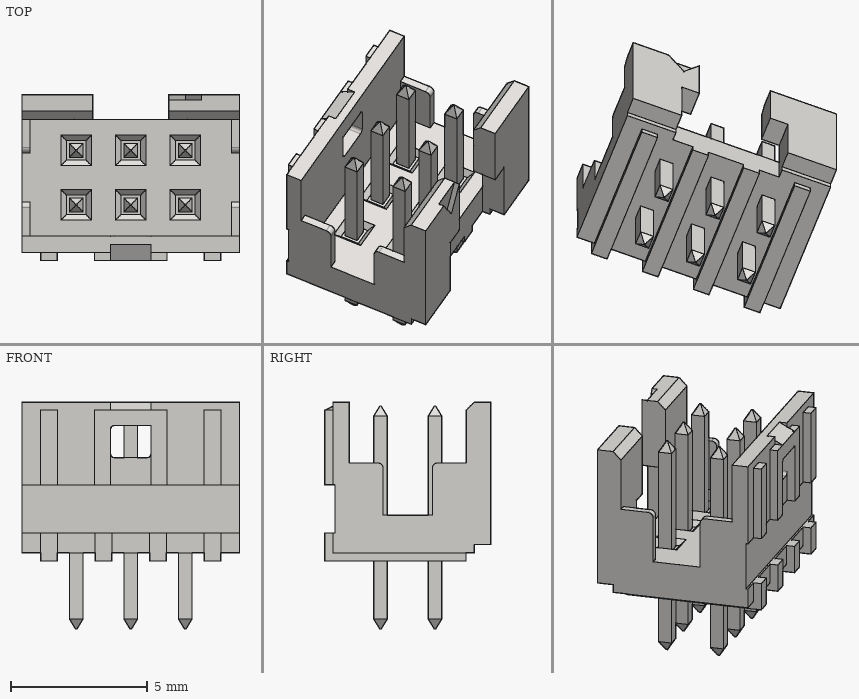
import cadquery as cq


length = 8.0
depth = 6.1
height = 8.35
step = 0.3
pitch = 2.0

rear_y = depth / 2
rib_y = -depth / 2
front_y = rib_y + step
cavity_half = 2.15
band_depth = 0.075

rib_top_z = height - step
rib_bottom_z = height - 3.04
band_bottom_z = height - 4.81
side_top_z = height - 2.24
floor_z = height - 4.16
body_bottom_z = height - 5.545
foot_bottom_z = body_bottom_z - step

slot_width = 1.8
slot_corner_radius = 0.2

gap_width = 2.79
wide_gap_width = 4.175
wide_gap_top_z = height - 2.58
mark_width = 1.2
mark_height = 1.04
mark_depth = 0.2

rib_width = 0.62
rib_x = 1.5 * pitch
frame_width = 2.67
window_width = 1.48
window_top_z = height - 0.87
window_bottom_z = height - 2.04
window_radius = 0.13
ramp_top_y = rib_y + 0.59
foot_positions = [(i - 1.5) * pitch for i in range(4)]

pin_width = 0.51
pin_top_z = height - 0.14
tip_length = 0.375
tip_width = 0.05
socket_width = 1.12
socket_depth = 0.2
pin_positions = [(i * pitch, j * pitch) for i in (-1, 0, 1) for j in (-0.5, 0.5)]


def block(x_range, y_range, z_range):
    """Axis-aligned box between the given limits."""
    (x0, x1), (y0, y1), (z0, z1) = x_range, y_range, z_range
    return cq.Workplane("XY").box(x1 - x0, y1 - y0, z1 - z0, centered=False).translate((x0, y0, z0))


def centred(width, middle=0.0):
    """Limits of a stretch of the given width about its middle."""
    return (middle - width / 2, middle + width / 2)


def along_x(points, width):
    """Y-Z outline extruded along X, centred on X = 0."""
    return cq.Workplane("YZ").polyline(points).close().extrude(width / 2, both=True)


def make_shell():
    """Floor with a tall front wall, a chamfered rear wall and low side walls."""
    outline = [
        (front_y, body_bottom_z),
        (rear_y - 2 * step, body_bottom_z),
        (rear_y - 2 * step, body_bottom_z + step),
        (rear_y, body_bottom_z + step),
        (rear_y, height),
        (cavity_half + step, height),
        (cavity_half, height - step),
        (cavity_half, floor_z),
        (-cavity_half, floor_z),
        (-cavity_half, height),
        (front_y, height),
        (front_y, rib_bottom_z),
        (front_y + band_depth, rib_bottom_z),
        (front_y + band_depth, band_bottom_z),
        (front_y, band_bottom_z),
    ]
    shell = along_x(outline, length)
    slot_half = slot_width / 2
    for side in (-1, 1):
        x_range = centred(step, side * (length - step) / 2)
        for end in (-1, 1):
            y_range = sorted((end * slot_half, end * cavity_half))
            wall = block(x_range, y_range, (floor_z, side_top_z))
            slot_edge = "<Y" if end > 0 else ">Y"
            wall = wall.faces(">Z").edges(slot_edge).fillet(slot_corner_radius)
            shell = shell.union(wall)
    return shell


def cut_rear_wall(body):
    """Stepped gap through the rear wall and the engraved triangle."""
    y_range = (cavity_half, rear_y)
    body = body.cut(block(centred(gap_width), y_range, (foot_bottom_z, height)))
    body = body.cut(block(centred(wide_gap_width), y_range, (foot_bottom_z, wide_gap_top_z)))
    mark = (
        cq.Workplane("XZ", origin=(pitch, rear_y, height))
        .polyline([(-mark_width / 2, 0), (mark_width / 2, 0), (0, -mark_height)])
        .close()
        .extrude(mark_depth)
    )
    return body.cut(mark)


def add_front_ribs(body):
    """Two plain ribs, and a latch frame with a ramped lead-in and a window."""
    y_range = (rib_y, front_y)
    z_range = (rib_bottom_z, rib_top_z)
    for x in (-rib_x, rib_x):
        body = body.union(block(centred(rib_width, x), y_range, z_range))
    frame = block(centred(frame_width), y_range, z_range)
    body = body.union(frame)

    ramp = [(rib_y, rib_top_z), (ramp_top_y, height), (ramp_top_y, rib_top_z)]
    above_ramp = [(rib_y, rib_top_z), (ramp_top_y, height), (rib_y, height)]
    body = body.union(along_x(ramp, window_width)).cut(along_x(above_ramp, window_width))

    window = block(centred(window_width), (rib_y, -cavity_half), (window_bottom_z, window_top_z))
    window = window.edges("|Y and (<X or <Z)").fillet(window_radius)
    window_mid_z = (window_bottom_z + window_top_z) / 2
    frame_opening = block(centred(window_width), y_range, (rib_bottom_z, window_mid_z))
    return body.cut(window).cut(frame_opening)


def add_feet(body):
    """Stand-off bars under the floor that turn up the front wall."""
    for x in foot_positions:
        x_range = centred(rib_width, x)
        body = body.union(block(x_range, (rib_y, cavity_half), (foot_bottom_z, body_bottom_z)))
        body = body.union(block(x_range, (rib_y, front_y), (foot_bottom_z, band_bottom_z)))
    return body


def make_pin():
    """Square pin tapered to a small flat at each end."""
    half = pin_width / 2
    tip_half = tip_width / 2
    outline = [
        (-tip_half, 0),
        (tip_half, 0),
        (half, tip_length),
        (half, pin_top_z - tip_length),
        (tip_half, pin_top_z),
        (-tip_half, pin_top_z),
        (-half, pin_top_z - tip_length),
        (-half, tip_length),
    ]
    across = cq.Workplane("XZ").polyline(outline).close().extrude(half, both=True)
    return across.intersect(along_x(outline, pin_width))


def add_pins(body):
    """Tapered socket in the floor around every pin."""
    sockets = (
        cq.Workplane("XY", origin=(0, 0, floor_z))
        .pushPoints(pin_positions)
        .rect(socket_width, socket_width)
        .extrude(-socket_depth, taper=45)
    )
    body = body.cut(sockets)
    pin = make_pin()
    for x, y in pin_positions:
        body = body.union(pin.translate((x, y, 0)))
    return body


result = add_pins(add_feet(add_front_ribs(cut_rear_wall(make_shell()))))